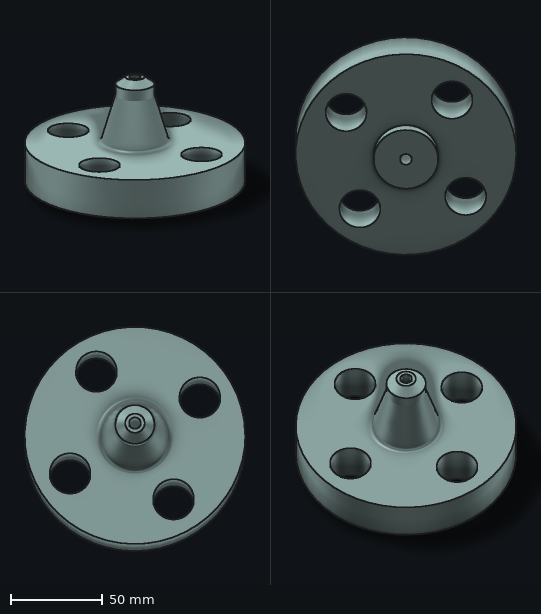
import cadquery as cq

flange_diameter = 120.6
flange_thickness = 22.4

spigot_diameter = 35.2
spigot_height = 6.3

total_height = 66.8
hub_base_diameter = 37.9
neck_diameter = 21.5
neck_straight_height = 6.3
bevel_height = 4.0
tip_diameter = 10.6
hub_fillet_radius = 3.0

selection_margin = 0.2

bore_diameter = 6.4
bolt_hole_diameter = 22.3
bolt_circle_diameter = 82.5
bolt_count = 4

flange_bottom = spigot_height
flange_top = flange_bottom + flange_thickness
bevel_start = total_height - bevel_height
cone_top = bevel_start - neck_straight_height


def make_body():
    """Spigot, flange and neck revolved as one solid about Z."""
    profile = (
        cq.Workplane("XZ")
        .moveTo(0, 0)
        .lineTo(spigot_diameter / 2, 0)
        .lineTo(spigot_diameter / 2, flange_bottom)
        .lineTo(flange_diameter / 2, flange_bottom)
        .lineTo(flange_diameter / 2, flange_top)
        .lineTo(hub_base_diameter / 2, flange_top)
        .lineTo(neck_diameter / 2, cone_top)
        .lineTo(neck_diameter / 2, bevel_start)
        .lineTo(tip_diameter / 2, total_height)
        .lineTo(0, total_height)
        .close()
    )
    return profile.revolve(360, (0, 0, 0), (0, 1, 0))


def fillet_hub_root(body):
    """Round the inside corner where the cone meets the flange."""
    reach = hub_base_diameter / 2 + selection_margin
    root = cq.selectors.BoxSelector(
        (-reach, -reach, flange_top - selection_margin),
        (reach, reach, flange_top + selection_margin),
        boundingbox=True,
    )
    return body.edges(root).fillet(hub_fillet_radius)


def make_holes():
    """Central bore and the ring of bolt holes."""
    bore = cq.Workplane("XY").circle(bore_diameter / 2).extrude(total_height)
    bolt_holes = (
        cq.Workplane("XY")
        .workplane(offset=flange_bottom)
        .polarArray(bolt_circle_diameter / 2, 0, 360, bolt_count)
        .circle(bolt_hole_diameter / 2)
        .extrude(flange_thickness)
    )
    return bore.union(bolt_holes)


result = fillet_hub_root(make_body()).cut(make_holes())